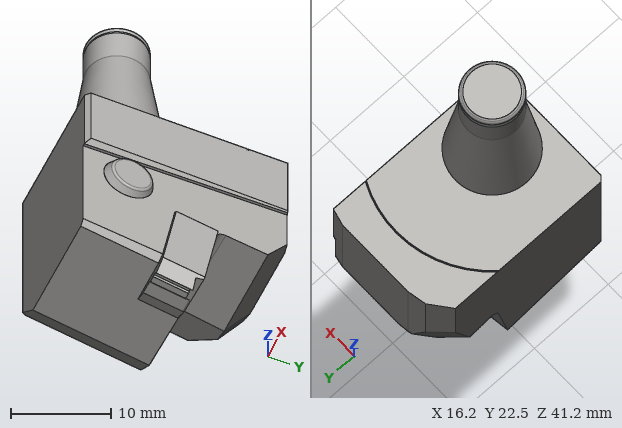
import cadquery as cq


cone_base_diameter = 10.0
stud_diameter = 6.75
cone_height = 11.7
neck_start = 15.4
neck_end = 15.75
neck_radius = 3.25
rim_bulge_height = 16.15
rim_bulge_radius = 3.35
rim_shoulder_height = 16.35
rim_shoulder_radius = 3.13
stud_height = 16.5
stud_top_radius = 2.9

left = -10.0
right = 6.0
front = -6.0
back = 16.5
block_depth = 24.68
front_chamfer = 0.5
shoulder_radius = 13.1
shoulder_groove_width = 0.12
shoulder_groove_depth = 0.1

side_bevel = (left, 14.25)
bevel_break = (-7.6, 16.1)
back_left = (-5.45, back)
back_right = (4.1, back)
right_bevel = (right, 16.0)

side_facet_top = (*side_bevel, -7)
side_facet_low = (left, 12.35, -11.9)
side_facet_back = (*bevel_break, -8.23)
corner_facet_top = (-5.9, 16.4, -11.5)
corner_facet_side = (-7.07, 14.35, -14)
heel_edge_y = 14.1
heel_edge_z = -15.25
heel_top_z = -12.15
heel_corner = (-4.95, heel_edge_y, heel_edge_z)

tilt = 10
front_bottom = -20.25
bottom_chamfer = 3.0
bottom_corner_start = 4.6

slot_corner_y = 8.6
slot_corner_z = -11.25
slot_yaw = 1.6
slot_fillet = 1.0
slot_roof_drop = 3.1
slot_roof_run = 5.1

relief_x = 5.2
relief_top = -7.85
relief_ledge = 0.3
relief_step = 1.25
relief_yaw = 1

screw_y = -1.0
screw_z = -10.85
screw_base_diameter = 5.45
screw_top_diameter = 4.4
screw_top_x = 6.13
screw_cone_height = 1.0
screw_round = 0.33
screw_sink = 0.82
screw_tilt = 2.5

rake_y = 2.1
tip_x = 4.95
tip_z = -23.95
insert_back = 6.1
heel_bottom = -23.53
insert_start_x = -0.4
insert_start_z = -21.68
root_start_x = 1.3
root_end_x = 2.88
root_z = -22.75
step_start_x = 3.15
step_end_x = 3.9
step_z = -23.25
notch_start_x = 4.07
notch_end_x = 4.35
notch_z = -23.07
right_flank_z = -22.45
insert_overlap = 0.82
insert_top = -14.1

reach = 41.15


def make_stud():
    profile = (
        cq.Workplane("XZ")
        .moveTo(0, 0)
        .lineTo(cone_base_diameter / 2, 0)
        .lineTo(stud_diameter / 2, cone_height)
        .lineTo(stud_diameter / 2, neck_start)
        .lineTo(neck_radius, neck_end)
        .threePointArc((rim_bulge_radius, rim_bulge_height), (rim_shoulder_radius, rim_shoulder_height))
        .lineTo(stud_top_radius, stud_height)
        .lineTo(0, stud_height)
        .close()
    )
    return profile.revolve(360, (0, 0, 0), (0, 1, 0))


def make_blank():
    outline = [
        (left, front + front_chamfer),
        (left + front_chamfer, front),
        (right - front_chamfer, front),
        (right, front + front_chamfer),
        right_bevel,
        back_right,
        back_left,
        bevel_break,
        side_bevel,
    ]
    return cq.Workplane("XY").polyline(outline).close().extrude(-block_depth)


def make_bottom_envelope():
    """Prism along the tilted direction that bounds the lower end of the block."""
    corner_rise = right - bottom_corner_start
    section = [
        (left, reach),
        (left, bottom_chamfer),
        (left + bottom_chamfer, 0),
        (bottom_corner_start, 0),
        (right, corner_rise),
        (right, reach),
    ]
    prism = cq.Workplane("XZ").polyline(section).close().extrude(reach, both=True)
    return prism.rotate((0, 0, 0), (1, 0, 0), -tilt).translate((0, front, front_bottom))


def place_in_slot(tool):
    """Turn and move a tool so that its origin becomes the inner corner of the slot."""
    turned = tool.rotate((0, 0, 0), (0, 0, 1), slot_yaw).rotate((0, 0, 0), (1, 0, 0), -tilt)
    return turned.translate((left, slot_corner_y, slot_corner_z))


def make_slot():
    """Rear slot with a roof that falls away from the -X side, then runs level."""
    fall = slot_roof_drop / slot_roof_run
    section = [
        (-slot_roof_run, slot_roof_run * fall),
        (slot_roof_run, -slot_roof_drop),
        (reach, -slot_roof_drop),
        (reach, -reach),
        (-slot_roof_run, -reach),
    ]
    prism = cq.Workplane("XZ").polyline(section).close().extrude(-reach)
    roof_zone = cq.selectors.BoxSelector(
        (-reach, -slot_fillet, -slot_roof_drop - slot_fillet),
        (reach, slot_fillet, slot_roof_drop + slot_fillet),
    )
    inner_corners = prism.faces("<Y").edges(roof_zone)
    return place_in_slot(inner_corners.fillet(slot_fillet))


def make_wall_limit():
    """Everything behind the slot wall."""
    half_space = cq.Workplane("XY").box(4 * reach, reach, 4 * reach, centered=(True, False, True))
    return place_in_slot(half_space)


def beyond_plane(a, b, c):
    """Large block on the far side, seen from the stud axis, of the plane through three points."""
    origin = cq.Vector(*a)
    normal = (cq.Vector(*b) - origin).cross(cq.Vector(*c) - origin)
    if normal.dot(origin) < 0:
        normal = normal * -1
    plane = cq.Plane(origin=origin, normal=normal)
    return cq.Workplane(plane).rect(2 * reach, 2 * reach).extrude(reach)


def cut_rear_bevels(body):
    side_facet = beyond_plane(side_facet_top, side_facet_low, side_facet_back)
    corner_facet = beyond_plane(corner_facet_top, corner_facet_side, heel_corner)
    heel_facet = beyond_plane(
        (left, back, heel_top_z), (right, back, heel_top_z), (right, heel_edge_y, heel_edge_z))
    return body.cut(side_facet).cut(corner_facet).cut(heel_facet)


def make_relief():
    """Shallow clearance over the lower +X side, closed at the top by a 45 degree step."""
    ledge_end = relief_x + relief_ledge
    section = [
        (relief_x, -reach),
        (relief_x, relief_top),
        (ledge_end, relief_top),
        (ledge_end + relief_step, relief_top + relief_step),
        (reach, relief_top + relief_step),
        (reach, -reach),
    ]
    prism = cq.Workplane("XZ").polyline(section).close().extrude(reach, both=True)
    return prism.rotate((relief_x, front, 0), (relief_x, front, 1), -relief_yaw)


def make_shoulder_groove():
    ring = cq.Workplane("XY").circle(shoulder_radius).circle(shoulder_radius - shoulder_groove_width)
    return ring.extrude(-shoulder_groove_depth)


def make_screw_head():
    base_radius = screw_base_diameter / 2
    head = (
        cq.Workplane("XY")
        .moveTo(0, -screw_cone_height - screw_sink)
        .lineTo(base_radius, -screw_cone_height - screw_sink)
        .lineTo(base_radius, -screw_cone_height)
        .lineTo(screw_top_diameter / 2, 0)
        .lineTo(0, 0)
        .close()
        .revolve(360, (0, 0, 0), (0, 1, 0))
        .faces(">Y").edges().fillet(screw_round)
    )
    along_x = head.rotate((0, 0, 0), (0, 0, 1), screw_tilt - 90)
    return along_x.translate((screw_top_x, screw_y, screw_z))


def make_holder():
    block = make_blank().intersect(make_bottom_envelope())
    block = cut_rear_bevels(block.cut(make_slot()))
    block = block.cut(make_relief()).cut(make_shoulder_groove())
    return block.union(make_stud()).union(make_screw_head())


def make_insert(holder):
    """Toothed insert that wraps the lower +X corner of the holder behind the rake face."""
    teeth = [
        (insert_start_x, insert_start_z),
        (root_start_x, root_z),
        (root_end_x, root_z),
        (step_start_x, step_z),
        (step_end_x, step_z),
        (notch_start_x, notch_z),
        (notch_end_x, notch_z),
        (tip_x, tip_z),
        (right, right_flank_z),
    ]
    inner_x = relief_x - insert_overlap
    inner_z = insert_start_z + insert_overlap
    arm = [
        (right, insert_top),
        (inner_x, insert_top + right - inner_x),
        (inner_x, inner_z),
        (insert_start_x, inner_z),
    ]
    section = [(x, z - tip_z) for x, z in teeth + arm]
    prism = cq.Workplane("XZ").polyline(section).close().extrude(-reach)
    prism = prism.rotate((0, 0, 0), (1, 0, 0), -tilt).translate((0, rake_y, tip_z))
    below_heel = cq.Workplane("XY").box(reach, reach, reach, centered=(True, False, False))
    below_heel = below_heel.translate((0, insert_back, heel_bottom - reach))
    return prism.cut(make_wall_limit()).cut(below_heel).cut(holder)


holder = make_holder()
insert = make_insert(holder)
result = cq.Compound.makeCompound([*holder.solids().vals(), *insert.solids().vals()])